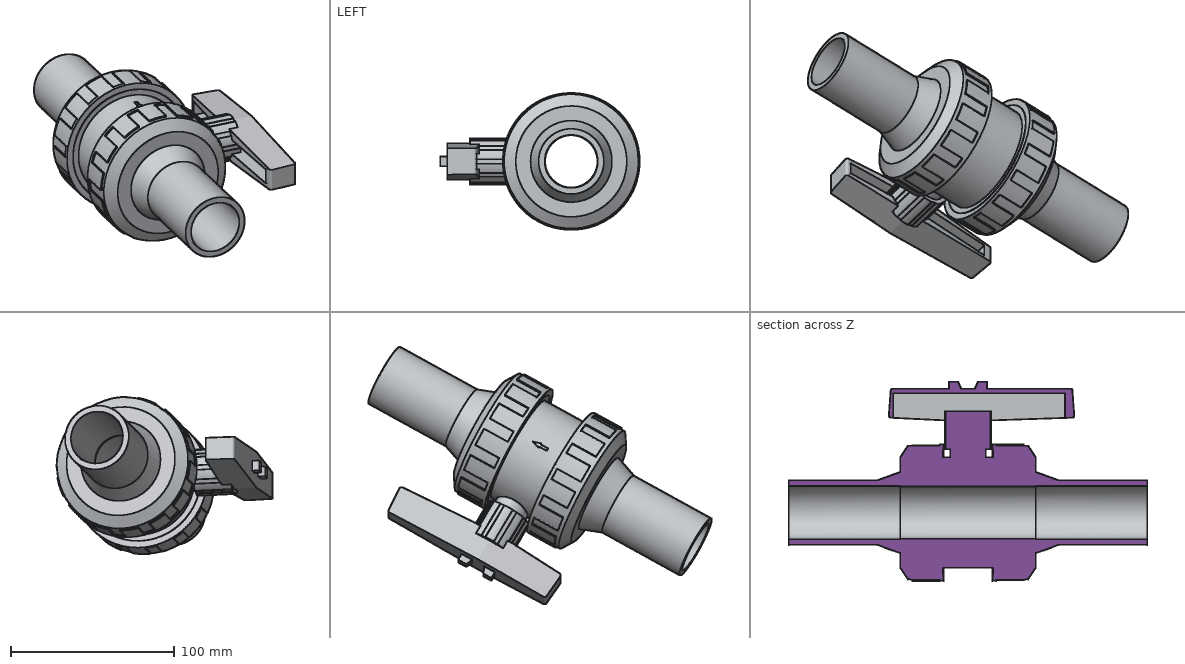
import cadquery as cq


overall_length = 220.0
pipe_diameter = 40.0
pipe_bore = 32.6
cone_root_diameter = 50.0
cone_length = 13.7

body_diameter = 68.04
body_bore = 32.0

nut_inner_x = 14.9
nut_outer_x = 41.55
nut_chamfer_x = 36.8
nut_face_diameter = 68.02
nut_base_diameter = 82.32
nut_grip_diameter = 84.0
nut_bore = 75.6
nut_recess_depth = 0.3
grip_length = 19.3
slot_end_margin = 2.5
slot_count = 14
slot_angle = 10.0
slot_phase = 4.9

stem_diameter = 21.98
hub_diameter = 28.6
hub_bottom_y = 38.8
hub_top_y = 62.2
flute_count = 10
flute_width = 2.9
flute_depth = 0.5

handle_top_y = 76.1
handle_bottom_y = 56.5
handle_end_bottom_y = 58.2
handle_left_x = -48.7
handle_right_x = 65.3
handle_end_lean = 1.3
handle_mid_half_width = 11.27
handle_side_slope = 0.068
handle_corner_radius = 1.5
handle_wall = 3.0
handle_right_wall = 5.9
pocket_width = 9.5

lug_top_y = 80.33
lug_outer_x = 11.8
lug_base_inner_x = 4.1
lug_top_inner_x = 6.1
lug_width = 6.2

arrow_length = 10.4
arrow_head_length = 5.2
arrow_head_width = 3.2
arrow_shaft_width = 1.8
arrow_height = 0.3


def x_cylinder(diameter, start, end):
    """Cylinder on the X axis between two X positions."""
    return cq.Workplane("YZ").workplane(offset=start).circle(diameter / 2).extrude(end - start)


def y_cylinder(diameter, start, end):
    """Cylinder on the Y axis between two Y positions."""
    return cq.Workplane("XZ").workplane(offset=-start).circle(diameter / 2).extrude(start - end)


def make_pipe():
    """Tail pipe of the +X end with its flared root."""
    cone_end_x = nut_outer_x + cone_length
    return (
        cq.Workplane("XY")
        .moveTo(0, 0)
        .lineTo(0, cone_root_diameter / 2)
        .lineTo(nut_outer_x, cone_root_diameter / 2)
        .lineTo(cone_end_x, pipe_diameter / 2)
        .lineTo(overall_length / 2, pipe_diameter / 2)
        .lineTo(overall_length / 2, 0)
        .close()
        .revolve(360, (0, 0, 0), (1, 0, 0))
    )


def x_ring_sector(start, end, inner_diameter, outer_diameter, angle):
    """Ring segment about X, starting at +Y and sweeping through the given angle."""
    return (
        cq.Workplane("XY")
        .moveTo(start, inner_diameter / 2)
        .lineTo(end, inner_diameter / 2)
        .lineTo(end, outer_diameter / 2)
        .lineTo(start, outer_diameter / 2)
        .close()
        .revolve(angle, (0, 0, 0), (1, 0, 0))
    )


def make_grip():
    """Raised grip band of the +X nut, with slots that open towards the outer end."""
    grip_end_x = nut_inner_x + grip_length
    slot_start_x = nut_inner_x + slot_end_margin
    grip = x_ring_sector(nut_inner_x, grip_end_x, nut_bore, nut_grip_diameter, 360)
    slot = x_ring_sector(slot_start_x, grip_end_x, nut_bore, nut_grip_diameter, slot_angle)
    first_turn = 180 + slot_phase - slot_angle / 2
    for i in range(slot_count):
        turn = first_turn + i * 360 / slot_count
        grip = grip.cut(slot.rotate((0, 0, 0), (1, 0, 0), turn))
    return grip


def make_nut():
    """Union nut of the +X end: chamfered ring carrying the grip band."""
    nut = (
        cq.Workplane("XY")
        .moveTo(nut_inner_x, 0)
        .lineTo(nut_inner_x, nut_base_diameter / 2)
        .lineTo(nut_chamfer_x, nut_base_diameter / 2)
        .lineTo(nut_outer_x, nut_face_diameter / 2)
        .lineTo(nut_outer_x, 0)
        .close()
        .revolve(360, (0, 0, 0), (1, 0, 0))
    )
    recess = x_cylinder(nut_bore, nut_inner_x, nut_inner_x + nut_recess_depth)
    return nut.union(make_grip()).cut(recess)


def both_ends(shape):
    """The shape together with its copy turned half a turn about Y."""
    return shape.union(shape.rotate((0, 0, 0), (0, 1, 0), 180))


def make_hub():
    """Hub on the stem with shallow flutes along its side, the first one facing +X."""
    hub = y_cylinder(hub_diameter, hub_bottom_y, hub_top_y)
    hub_height = hub_top_y - hub_bottom_y
    flute = cq.Workplane("XY").box(2 * flute_depth, hub_height, flute_width)
    flute = flute.translate((hub_diameter / 2, hub_bottom_y + hub_height / 2, 0))
    for i in range(flute_count):
        hub = hub.cut(flute.rotate((0, 0, 0), (0, 1, 0), i * 360 / flute_count))
    return hub


def make_handle():
    """Lever with leaning ends and sides tapering from the middle, hollow from below."""
    side_outline = [
        (handle_left_x, handle_end_bottom_y),
        (-hub_diameter / 2, handle_bottom_y),
        (hub_diameter / 2, handle_bottom_y),
        (handle_right_x, handle_end_bottom_y),
        (handle_right_x - handle_end_lean, handle_top_y),
        (handle_left_x + handle_end_lean, handle_top_y),
    ]
    side = (
        cq.Workplane("XY")
        .polyline(side_outline)
        .close()
        .extrude(handle_mid_half_width, both=True)
    )
    for end_selector in ("<X", ">X"):
        side = side.edges("|Z").edges(end_selector).fillet(handle_corner_radius)
    side = side.edges("|Z").edges(">Y").fillet(handle_corner_radius)

    left_half_width = handle_mid_half_width + handle_side_slope * handle_left_x
    right_half_width = handle_mid_half_width - handle_side_slope * handle_right_x
    half_plan = [
        (handle_left_x, left_half_width),
        (0, handle_mid_half_width),
        (handle_right_x, right_half_width),
    ]
    plan_outline = half_plan + [(x, -z) for x, z in reversed(half_plan)]
    plan = cq.Workplane("XZ").polyline(plan_outline).close().extrude(-handle_top_y)

    pocket_start_x = handle_left_x + handle_wall
    pocket_end_x = handle_right_x - handle_right_wall
    pocket_top_y = handle_top_y - handle_wall
    pocket = cq.Workplane("XY").box(
        pocket_end_x - pocket_start_x, pocket_top_y, pocket_width, centered=(False, False, True)
    )
    return side.intersect(plan).cut(pocket.translate((pocket_start_x, 0, 0)))


def make_lug():
    """Stop lug on the +X side, with a sloping inner flank."""
    return (
        cq.Workplane("XY")
        .moveTo(lug_base_inner_x, handle_top_y - handle_wall)
        .lineTo(lug_base_inner_x, handle_top_y)
        .lineTo(lug_top_inner_x, lug_top_y)
        .lineTo(lug_outer_x, lug_top_y)
        .lineTo(lug_outer_x, handle_top_y - handle_wall)
        .close()
        .extrude(lug_width / 2, both=True)
    )


def make_arrow():
    """Flow arrow pointing to +X on the top of the body."""
    tip_x = arrow_length / 2
    head_x = tip_x - arrow_head_length
    return (
        cq.Workplane("XY")
        .moveTo(-tip_x, -arrow_shaft_width / 2)
        .lineTo(head_x, -arrow_shaft_width / 2)
        .lineTo(head_x, -arrow_head_width / 2)
        .lineTo(tip_x, 0)
        .lineTo(head_x, arrow_head_width / 2)
        .lineTo(head_x, arrow_shaft_width / 2)
        .lineTo(-tip_x, arrow_shaft_width / 2)
        .close()
        .extrude(body_diameter / 2 + arrow_height)
    )


valve = x_cylinder(body_diameter, -nut_outer_x, nut_outer_x)
valve = valve.union(both_ends(make_pipe()))
valve = valve.union(both_ends(make_nut()))
valve = valve.union(y_cylinder(stem_diameter, 0, hub_top_y))
valve = valve.union(make_arrow())
valve = valve.union(make_handle())
valve = valve.union(make_hub())
valve = valve.union(both_ends(make_lug()))

valve = valve.cut(x_cylinder(body_bore, -overall_length / 2, overall_length / 2))
pipe_bore_cut = x_cylinder(pipe_bore, nut_outer_x, overall_length / 2)
result = valve.cut(pipe_bore_cut).cut(pipe_bore_cut.mirror("YZ"))